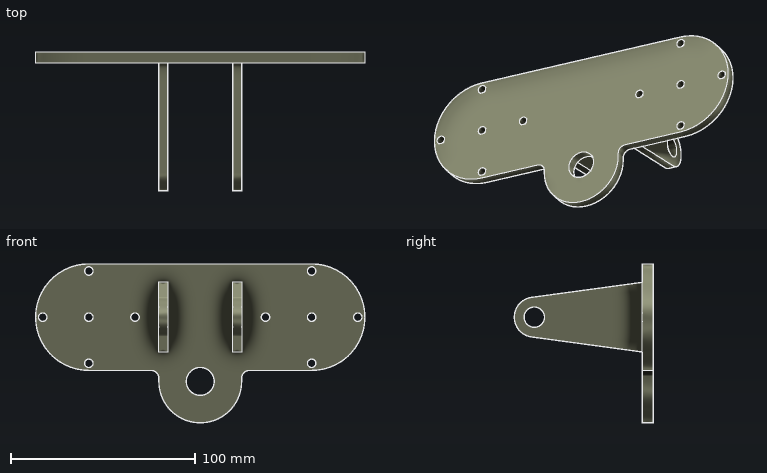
import cadquery as cq
import math

plate_length = 179.0
plate_end_radius = 29.0
plate_thickness = 6.0
end_center_x = plate_length / 2 - plate_end_radius

lug_radius = 22.5
lug_drop = 34.9
lug_hole_diameter = 15.0
lug_fillet = 4.1
corner_margin = 1.8

screw_hole_diameter = 4.5
screw_hole_offset = 25.0

total_depth = 75.5
arm_thickness = 5.0
arm_outer_x = lug_radius
arm_root_height = 38.0
arm_tip_radius = 11.0
arm_hole_diameter = 11.0
plate_front_y = -plate_thickness
arm_tip_y = arm_tip_radius - total_depth


def make_plate():
    """Plate and lug from Y = 0 to the front face, with filleted inner corners."""
    stadium = (
        cq.Workplane("XZ")
        .slot2D(plate_length, 2 * plate_end_radius)
        .extrude(plate_thickness)
    )
    lug_disc = (
        cq.Workplane("XZ")
        .center(0, -lug_drop)
        .circle(lug_radius)
        .extrude(plate_thickness)
    )
    lug_neck = (
        cq.Workplane("XZ")
        .center(0, -lug_drop / 2)
        .rect(2 * lug_radius, lug_drop)
        .extrude(plate_thickness)
    )
    plate = stadium.union(lug_neck).union(lug_disc)
    corner_selector = cq.selectors.BoxSelector(
        (-lug_radius - corner_margin, -plate_thickness, -plate_end_radius - corner_margin),
        (lug_radius + corner_margin, 0, -plate_end_radius + corner_margin),
    )
    return plate.edges("|Y").edges(corner_selector).fillet(lug_fillet)


def cut_plate_holes(plate):
    """Cut the lug hole and the two crosses of screw holes."""
    screw_points = []
    for center_x in (-end_center_x, end_center_x):
        screw_points += [
            (center_x, 0),
            (center_x - screw_hole_offset, 0),
            (center_x + screw_hole_offset, 0),
            (center_x, -screw_hole_offset),
            (center_x, screw_hole_offset),
        ]
    screw_holes = (
        cq.Workplane("XZ")
        .pushPoints(screw_points)
        .circle(screw_hole_diameter / 2)
        .extrude(plate_thickness)
    )
    lug_hole = (
        cq.Workplane("XZ")
        .center(0, -lug_drop)
        .circle(lug_hole_diameter / 2)
        .extrude(plate_thickness)
    )
    return plate.cut(screw_holes).cut(lug_hole)


def make_arm(start_x):
    """Tapered arm whose straight edges run tangent into its rounded tip."""
    root_half = arm_root_height / 2
    reach = plate_front_y - arm_tip_y
    tangent_angle = math.atan2(root_half, reach) + math.acos(
        arm_tip_radius / math.hypot(reach, root_half)
    )
    tangent_y = arm_tip_y + arm_tip_radius * math.cos(tangent_angle)
    tangent_z = arm_tip_radius * math.sin(tangent_angle)
    arm = (
        cq.Workplane("YZ", origin=(start_x, 0, 0))
        .moveTo(plate_front_y, -root_half)
        .lineTo(plate_front_y, root_half)
        .lineTo(tangent_y, tangent_z)
        .threePointArc((-total_depth, 0), (tangent_y, -tangent_z))
        .close()
        .extrude(arm_thickness)
    )
    hole = (
        cq.Workplane("YZ", origin=(start_x, 0, 0))
        .center(arm_tip_y, 0)
        .circle(arm_hole_diameter / 2)
        .extrude(arm_thickness)
    )
    return arm.cut(hole)


result = cut_plate_holes(make_plate())
for arm_start_x in (-arm_outer_x, arm_outer_x - arm_thickness):
    result = result.union(make_arm(arm_start_x))